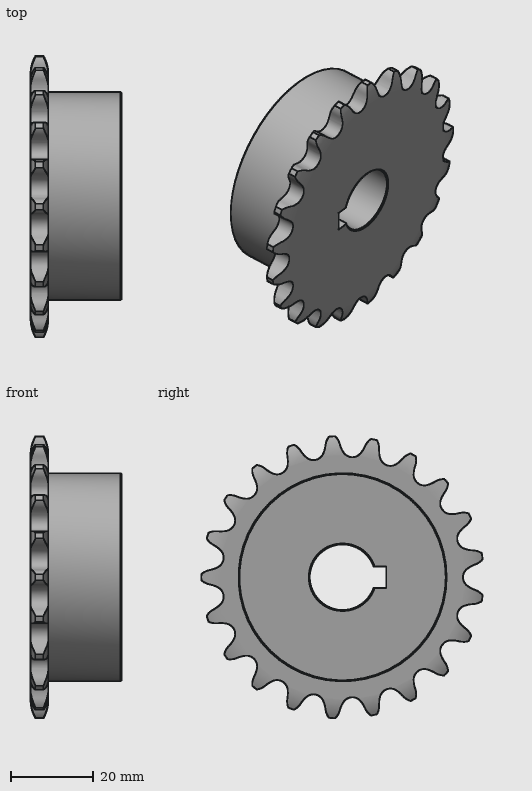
import cadquery as cq
import math


TOOTH_COUNT = 21
CHAIN_PITCH = 9.52
ROLLER_DIAMETER = 5.08
SEAT_CLEARANCE = 0.038

PLATE_THICKNESS = 4.4
TOOTH_TIP_WIDTH = 1.9
BEVEL_INNER_RADIUS = 29.7

TOTAL_LENGTH = 22.2
HUB_DIAMETER = 50.8
HUB_CHAMFER = 0.3

BORE_DIAMETER = 15.95
BORE_CHAMFER = 0.3
KEYWAY_WIDTH = 5.2
KEYWAY_REACH = 10.6

HALF_PITCH_ANGLE = math.pi / TOOTH_COUNT
PITCH_RADIUS = CHAIN_PITCH / (2 * math.sin(HALF_PITCH_ANGLE))
OUTER_RADIUS = CHAIN_PITCH * (0.6 + 1 / math.tan(HALF_PITCH_ANGLE)) / 2
CUTTER_REACH = 1.2 * OUTER_RADIUS
TIP_MARGIN = 0.1
OVERCUT = 0.7


def shifted(point, distance, angle):
    """Point moved by a distance in the direction of an angle in radians."""
    return (point[0] + distance * math.cos(angle), point[1] + distance * math.sin(angle))


def mirrored(point):
    return (-point[0], point[1])


def tooth_gap():
    """Cutter for the gap on the +Y axis, based on the ANSI roller-chain tooth form.

    In the sketch, the first coordinate is tangential and the second is radial.
    Each flank is a concave working arc that runs tangent into a convex topping arc.
    """
    seat_angle = math.radians(35 + 60 / TOOTH_COUNT)
    seat_radius = ROLLER_DIAMETER / 2 + SEAT_CLEARANCE
    working_offset = 0.8 * ROLLER_DIAMETER
    working_radius = seat_radius + working_offset
    topping_offset = 1.4 * ROLLER_DIAMETER

    roller_centre = (0, PITCH_RADIUS)
    working_centre = shifted(roller_centre, working_offset, seat_angle)
    topping_centre = shifted(roller_centre, topping_offset, math.pi + HALF_PITCH_ANGLE)

    centre_run = working_centre[0] - topping_centre[0]
    centre_rise = working_centre[1] - topping_centre[1]
    flank_angle = math.atan2(centre_rise, centre_run)
    topping_radius = math.hypot(centre_run, centre_rise) - working_radius

    seat_bottom = (0, PITCH_RADIUS - seat_radius)
    seat_end = shifted(roller_centre, seat_radius, math.pi + seat_angle)
    working_middle = shifted(working_centre, working_radius, math.pi + (seat_angle + flank_angle) / 2)
    working_end = shifted(working_centre, working_radius, math.pi + flank_angle)

    top_angle = math.asin((OUTER_RADIUS + TIP_MARGIN - topping_centre[1]) / topping_radius)
    topping_middle = shifted(topping_centre, topping_radius, (flank_angle + top_angle) / 2)
    topping_end = shifted(topping_centre, topping_radius, top_angle)
    open_end = (topping_end[0], CUTTER_REACH)

    return (
        cq.Workplane("YZ", origin=(-OVERCUT, 0, 0))
        .moveTo(*open_end)
        .lineTo(*topping_end)
        .threePointArc(topping_middle, working_end)
        .threePointArc(working_middle, seat_end)
        .threePointArc(seat_bottom, mirrored(seat_end))
        .threePointArc(mirrored(working_middle), mirrored(working_end))
        .threePointArc(mirrored(topping_middle), mirrored(topping_end))
        .lineTo(*mirrored(open_end))
        .close()
        .extrude(PLATE_THICKNESS + 2 * OVERCUT)
        .rotate((0, 0, 0), (1, 0, 0), -90)
    )


def bevelled_disc():
    """Plate blank whose rim narrows to the tooth tips along arcs tangent to the faces."""
    middle = PLATE_THICKNESS / 2
    drop = middle - TOOTH_TIP_WIDTH / 2
    rise = OUTER_RADIUS - BEVEL_INNER_RADIUS
    bevel_radius = (rise**2 + drop**2) / (2 * drop)
    half_sweep = math.asin(rise / bevel_radius) / 2
    arc_mid_x = bevel_radius * (1 - math.cos(half_sweep))
    arc_mid_radius = BEVEL_INNER_RADIUS + bevel_radius * math.sin(half_sweep)
    return (
        cq.Workplane("XY")
        .lineTo(0, BEVEL_INNER_RADIUS)
        .threePointArc((arc_mid_x, arc_mid_radius), (drop, OUTER_RADIUS))
        .lineTo(PLATE_THICKNESS - drop, OUTER_RADIUS)
        .threePointArc((PLATE_THICKNESS - arc_mid_x, arc_mid_radius), (PLATE_THICKNESS, BEVEL_INNER_RADIUS))
        .lineTo(PLATE_THICKNESS, 0)
        .close()
        .revolve(360, (0, 0, 0), (1, 0, 0))
    )


def toothed_plate():
    plate = bevelled_disc()
    gap = tooth_gap()
    for index in range(TOOTH_COUNT):
        plate = plate.cut(gap.rotate((0, 0, 0), (1, 0, 0), index * 360 / TOOTH_COUNT))
    return plate


def hub():
    return (
        cq.Workplane("YZ")
        .circle(HUB_DIAMETER / 2)
        .extrude(TOTAL_LENGTH)
        .faces(">X")
        .chamfer(HUB_CHAMFER)
    )


def bore():
    """Through bore, widened by a chamfer at both ends."""
    radius = BORE_DIAMETER / 2
    mouth = radius + BORE_CHAMFER
    return (
        cq.Workplane("XY")
        .lineTo(0, mouth)
        .lineTo(BORE_CHAMFER, radius)
        .lineTo(TOTAL_LENGTH - BORE_CHAMFER, radius)
        .lineTo(TOTAL_LENGTH, mouth)
        .lineTo(TOTAL_LENGTH, 0)
        .close()
        .revolve(360, (0, 0, 0), (1, 0, 0))
    )


def keyway():
    """Slot on the +Y side of the bore, running the full length."""
    return cq.Workplane("XY").box(
        TOTAL_LENGTH, KEYWAY_REACH, KEYWAY_WIDTH, centered=(False, False, True)
    )


result = toothed_plate().union(hub()).cut(bore()).cut(keyway())